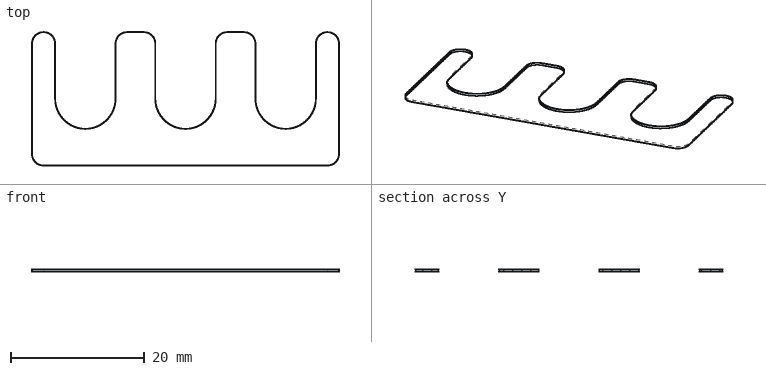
import cadquery as cq

length = 46.0
depth = 20.0
thickness = 0.38
slot_count = 3
slot_width = 9.0
slot_pitch = 15.0
web_depth = 5.5

slot_radius = slot_width / 2
slot_span = (slot_count - 1) * slot_pitch + slot_width
end_prong_width = (length - slot_span) / 2
corner_radius = end_prong_width / 2
inner_prong_width = slot_pitch - slot_width
back_edge = depth / 2
front_edge = -depth / 2
inner_tip_depth = 2 * corner_radius
tip_center_y = back_edge - corner_radius
slot_center_y = front_edge + web_depth + slot_radius


def make_strip():
    """Solid plate with rounded front corners, reaching back to the tip centres."""
    strip_depth = depth - corner_radius
    return (
        cq.Workplane("XY")
        .center(0, front_edge + strip_depth / 2)
        .rect(length, strip_depth)
        .extrude(thickness)
        .edges("|Z and <Y")
        .fillet(corner_radius)
    )


def make_slot(center_x):
    """Round-bottomed slot, open toward the back edge."""
    open_length = back_edge - slot_center_y
    bottom = cq.Workplane("XY").center(center_x, slot_center_y).circle(slot_radius).extrude(thickness)
    channel = (
        cq.Workplane("XY")
        .center(center_x, slot_center_y + open_length / 2)
        .rect(slot_width, open_length)
        .extrude(thickness)
    )
    return bottom.union(channel)


def make_end_tip(center_x):
    """Fully round tip of an end prong."""
    return cq.Workplane("XY").center(center_x, tip_center_y).circle(corner_radius).extrude(thickness)


def make_inner_tip(center_x):
    """Flat tip of an inner prong with both corners rounded."""
    return (
        cq.Workplane("XY")
        .center(center_x, back_edge - inner_tip_depth / 2)
        .rect(inner_prong_width, inner_tip_depth)
        .extrude(thickness)
        .edges("|Z and >Y")
        .fillet(corner_radius)
    )


result = make_strip()

for index in range(slot_count):
    result = result.cut(make_slot((index - (slot_count - 1) / 2) * slot_pitch))

for index in range(slot_count - 1):
    result = result.union(make_inner_tip((index - (slot_count - 2) / 2) * slot_pitch))

for side in (-1, 1):
    result = result.union(make_end_tip(side * (length - end_prong_width) / 2))

result = result.clean()